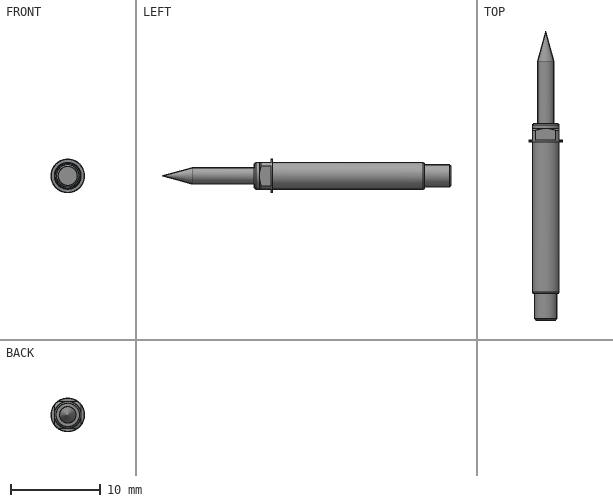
import cadquery as cq

total_length = 32.3
tip_length = 3.35
pin_length = 6.9
head_length = 1.87
collar_length = 0.58
flange_thickness = 0.2
tail_length = 2.97

pin_radius = 0.92
body_radius = 1.502
flange_radius = 1.87
tail_radius = 1.25

front_chamfer = 0.2
body_chamfer = 0.2
body_bevel_depth = 0.1
tail_chamfer = 0.2
corner_bevel = 0.2

tip_y = total_length / 2
pin_front_y = tip_y - tip_length
head_front_y = pin_front_y - pin_length
flats_front_y = head_front_y - collar_length
flange_front_y = head_front_y - head_length
flange_rear_y = flange_front_y - flange_thickness
tail_rear_y = -total_length / 2
body_rear_y = tail_rear_y + tail_length


def turned(profile):
    """Solid of revolution about Y from (radius, y) points; the axis closes it."""
    return cq.Workplane("XY").polyline(profile).close().revolve(360, (0, 0, 0), (0, 1, 0))


def turned_pin():
    return turned([
        (0, tip_y),
        (pin_radius, pin_front_y),
        (pin_radius, head_front_y),
        (body_radius - front_chamfer, head_front_y),
        (body_radius, head_front_y - front_chamfer),
        (body_radius, flange_front_y),
        (flange_radius, flange_front_y),
        (flange_radius, flange_rear_y),
        (body_radius, flange_rear_y),
        (body_radius, body_rear_y + body_chamfer),
        (body_radius - body_bevel_depth, body_rear_y),
        (tail_radius, body_rear_y),
        (tail_radius, tail_rear_y + tail_chamfer),
        (tail_radius - tail_chamfer, tail_rear_y),
        (0, tail_rear_y),
    ])


def wrench_square():
    """Square with flats tangent to the body, its corners rounded to the flange radius."""
    flats_length = flats_front_y - flange_front_y
    blank = turned([
        (0, flats_front_y),
        (body_radius, flats_front_y),
        (flange_radius, flats_front_y - corner_bevel),
        (flange_radius, flange_front_y),
        (0, flange_front_y),
    ])
    square = cq.Workplane("XY").box(2 * body_radius, flats_length, 2 * body_radius)
    square = square.translate((0, (flats_front_y + flange_front_y) / 2, 0))
    return blank.intersect(square)


result = turned_pin().union(wrench_square())